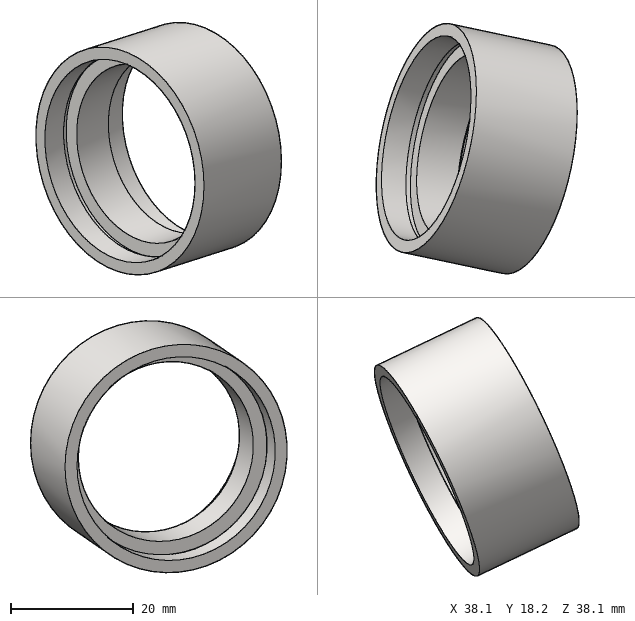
import cadquery as cq

outer_diameter = 38.1
length = 18.2
recess_diameter = 34.0
bore_diameter = 30.0
rib_width = 7.43
groove_diameter = 34.75
groove_width = 1.0

front_y = -length / 2
recess_depth = (length - rib_width) / 2


def cylinder_along_y(diameter, start_y, depth):
    """Cylinder running from start_y towards +Y."""
    plane = cq.Workplane("XZ", origin=(0, start_y, 0))
    return plane.circle(diameter / 2).extrude(-depth)


def front_recess():
    """Cutter for the recess at the -Y end, widened by the groove next to the rib."""
    recess = cylinder_along_y(recess_diameter, front_y, recess_depth)
    groove_start = front_y + recess_depth - groove_width
    return recess.union(cylinder_along_y(groove_diameter, groove_start, groove_width))


result = cylinder_along_y(outer_diameter, front_y, length)
result = result.cut(cylinder_along_y(bore_diameter, front_y, length))
result = result.cut(front_recess())
result = result.cut(front_recess().mirror("XZ"))